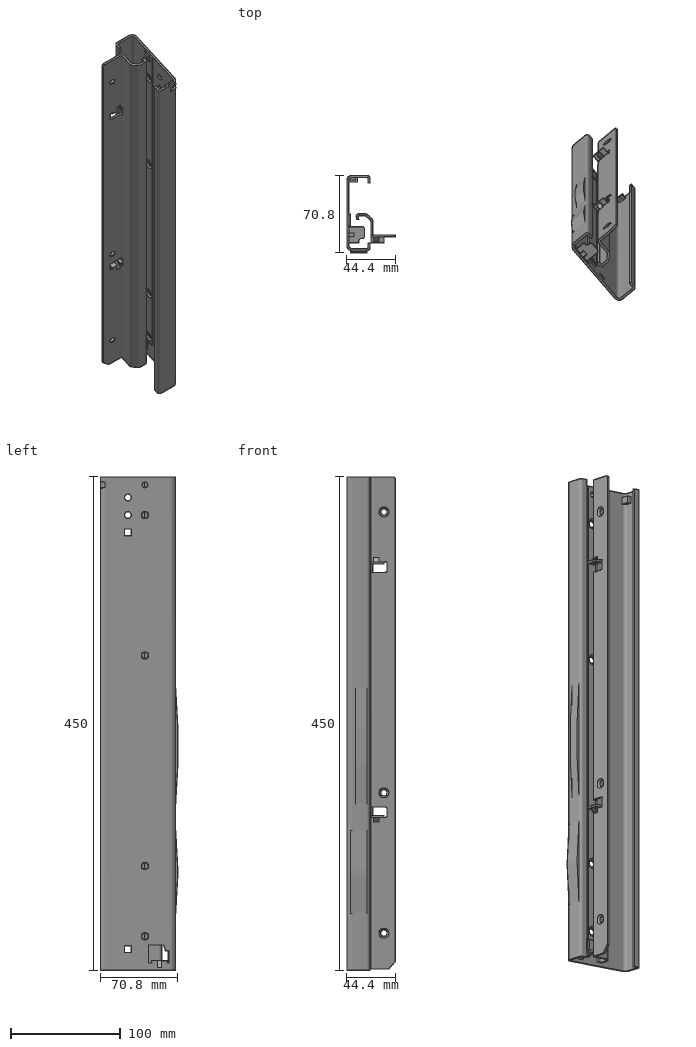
import cadquery as cq
import math


SHEET = 2.0
RAIL_SHEET = SHEET
LENGTH = 450.0
TOTAL_HEIGHT = 70.8
PAD_RISE = 2.0
CHANNEL_HEIGHT = TOTAL_HEIGHT - PAD_RISE
CHANNEL_DEPTH = 21.2
LIP_LENGTH = 7.0
WEB_BEND = 5.0
LIP_BEND = 2.9

SCREW_LINE_Y = 28.1
SCREW_DIAMETER = 6.0
SCREW_SINK_DIAMETER = 9.8
SCREW_HEIGHTS = (31.2, 95.2, 287.2, 415.2)
PILOT_DIAMETER = 5.2
PILOT_Z = 442.7
FIXING_LINE_Y = SCREW_LINE_Y + 15.5
FIXING_SIZE = 5.9
ROUND_FIXING_HEIGHTS = (415.2, 431.2)
SQUARE_FIXING_HEIGHTS = (19.4, 399.4)

WINDOW_BOTTOM = 7.0
WINDOW_TOP = 23.2
WINDOW_STEP_Z = 17.8
WINDOW_Y = (6.0, 24.8)
STEP_Y = 11.0
TAB_Y = (7.2, 22.1)
TAB_REACH = 16.2
TAB_STEP_REACH = 11.0
TAB_CORNER = 1.5

GUSSET_WIDTH = 5.0
DENT_WIDTH = 3.6
GUSSET_LEG = 4.0
DENT_LEG = 6.4

DIMPLE_Z = (439.6, 445.8)
DIMPLE_DEPTH = 4.2
DIMPLE_REACH = 9.8
DIMPLE_WALL = 0.6

PAD_END_X = CHANNEL_DEPTH - LIP_BEND
PADS = (
    (8.2, (152.0, 187.0, 222.0, 257.0)),
    (3.5, (52.0, 87.5, 92.0, 127.5)),
)

STRIP_WIDTH = 10.8
STRIP_THICKNESS = 1.5
STRIP_FACE_X = SHEET + STRIP_THICKNESS
STRIP_BOTTOM = WINDOW_TOP

RAIL_END_X = 44.4
RAIL_BOTTOM = 1.2
RAIL_WEB_X = 21.9
RAIL_FLANGE_Y = 12.6
RAIL_TOP_Y = 33.9
RAIL_SLOPE_X = 18.0
RAIL_SLOPE_Y = 28.4
HOOK_X = 8.0
HOOK_TIP_Y = 28.4
HOOK_TIP_X = 9.0
HOOK_BEND = 2.8
SLOPE_BEND = 4.0
FLANGE_BEND = 2.7
RAIL_CORNER_CUT = (6.3, 7.0)
RAIL_TOP_CUT = 1.5
RAIL_HOLE_X = 33.9
RAIL_HOLE_HEIGHTS = (34.0, 162.0, 418.0)
RAIL_HOLE_DIAMETER = 5.6
RAIL_SINK_DIAMETER = 9.0

SLOT_MIRROR_Z = 256.0
SLOT_OUTER = 116.5
SLOT_INNER = 107.0
SLOT_END_X = 36.6
SLOT_TOP_Y = 16.4
SLOT_CORNER = 1.5
RAIL_TAB_END_X = 34.0
RAIL_GUSSET_X = 27.0
RAIL_TAB_TIP_Y = 7.2


def box(x_range, y_range, z_range):
    size = [b - a for a, b in (x_range, y_range, z_range)]
    corner = (x_range[0], y_range[0], z_range[0])
    return cq.Workplane("XY").box(*size, centered=False).translate(corner)


def bent_sheet(path, thickness, bottom, top):
    """Sheet whose left face follows `path`; its body lies to the right of the path."""
    steps = list(zip(path, path[1:]))
    normals = []
    for (x0, y0), (x1, y1) in steps:
        run = math.hypot(x1 - x0, y1 - y0)
        normals.append(((y1 - y0) / run, (x0 - x1) / run))
    before = [normals[0]] + normals
    after = normals + [normals[-1]]
    inner = []
    for (x, y), a, b in zip(path, before, after):
        stretch = thickness / (1 + a[0] * b[0] + a[1] * b[1])
        inner.append((x + stretch * (a[0] + b[0]), y + stretch * (a[1] + b[1])))
    sheet = cq.Workplane("XY").workplane(offset=bottom).polyline(path + inner[::-1]).close()
    return sheet.extrude(top - bottom), inner


def round_edge(body, point, radius):
    """Rounds the Z edge that passes through the XY `point`."""
    reach = 0.05
    x, y = point
    selector = cq.selectors.BoxSelector(
        (x - reach, y - reach, -LENGTH), (x + reach, y + reach, 2 * LENGTH)
    )
    return body.edges("|Z").edges(selector).fillet(radius)


def web_holes(diameter, y, heights):
    points = [(y, z) for z in heights]
    return cq.Workplane("YZ").pushPoints(points).circle(diameter / 2).extrude(STRIP_FACE_X)


def screw_line_cutter():
    """Countersunk screw holes and the pilot hole, through both the web and the strip."""
    holes = web_holes(SCREW_DIAMETER, SCREW_LINE_Y, SCREW_HEIGHTS)
    pilot = web_holes(PILOT_DIAMETER, SCREW_LINE_Y, (PILOT_Z,))
    points = [(SCREW_LINE_Y, z) for z in SCREW_HEIGHTS]
    face = cq.Workplane("YZ", origin=(STRIP_FACE_X, 0, 0)).pushPoints(points)
    depth = (SCREW_SINK_DIAMETER - SCREW_DIAMETER) / 2
    sinks = face.circle(SCREW_SINK_DIAMETER / 2).extrude(-depth, taper=45)
    return holes.union(sinks).union(pilot)


def make_channel():
    path = [
        (CHANNEL_DEPTH, LIP_LENGTH),
        (CHANNEL_DEPTH, 0),
        (0, 0),
        (0, CHANNEL_HEIGHT),
        (CHANNEL_DEPTH, CHANNEL_HEIGHT),
        (CHANNEL_DEPTH, CHANNEL_HEIGHT - LIP_LENGTH),
    ]
    channel, inner = bent_sheet(path, SHEET, 0, LENGTH)
    for bend, radius in zip(range(1, 5), (LIP_BEND, WEB_BEND, WEB_BEND, LIP_BEND)):
        channel = round_edge(channel, path[bend], radius)
        channel = round_edge(channel, inner[bend], radius - SHEET)
    for pad_start, heights in PADS:
        channel = channel.union(make_pad(pad_start, heights))
    channel = channel.cut(screw_line_cutter())
    channel = channel.cut(web_holes(FIXING_SIZE, FIXING_LINE_Y, ROUND_FIXING_HEIGHTS))
    squares = [(FIXING_LINE_Y, z) for z in SQUARE_FIXING_HEIGHTS]
    channel = channel.cut(
        cq.Workplane("YZ").pushPoints(squares).rect(FIXING_SIZE, FIXING_SIZE).extrude(SHEET)
    )
    return add_dimple(add_stop_tab(channel))


def make_pad(start_x, heights):
    """Pad with a ramp at each end, rising from the -Y flange."""
    low, flat_low, flat_high, high = heights
    profile = [(0, low), (-PAD_RISE, flat_low), (-PAD_RISE, flat_high), (0, high)]
    profile += [(SHEET / 2, high), (SHEET / 2, low)]
    pad = cq.Workplane("YZ").workplane(offset=start_x).polyline(profile).close()
    return pad.extrude(PAD_END_X - start_x)


def add_stop_tab(channel):
    """Window with a stepped outline, and the matching tab bent to +X at its lower edge."""
    y_low, y_high = WINDOW_Y
    window = [
        (y_high, WINDOW_BOTTOM),
        (y_high, WINDOW_TOP),
        (STEP_Y, WINDOW_TOP),
        (STEP_Y - TAB_CORNER, WINDOW_STEP_Z),
        (y_low, WINDOW_STEP_Z),
        (y_low, WINDOW_BOTTOM),
    ]
    channel = channel.cut(cq.Workplane("YZ").polyline(window).close().extrude(SHEET))
    tab_low, tab_high = TAB_Y
    tab = [
        (0, tab_low),
        (TAB_STEP_REACH, tab_low),
        (TAB_STEP_REACH, STEP_Y - TAB_CORNER),
        (TAB_STEP_REACH + TAB_CORNER, STEP_Y),
        (TAB_REACH - TAB_CORNER, STEP_Y),
        (TAB_REACH, STEP_Y + TAB_CORNER),
        (TAB_REACH, tab_high - TAB_CORNER),
        (TAB_REACH - TAB_CORNER, tab_high),
        (0, tab_high),
    ]
    tab_plane = cq.Workplane("XY").workplane(offset=WINDOW_BOTTOM)
    channel = channel.union(tab_plane.polyline(tab).close().extrude(SHEET))
    middle = (tab_low + tab_high) / 2
    frame = cq.Plane(origin=(SHEET, middle, WINDOW_BOTTOM), xDir=(1, 0, 0), normal=(0, 1, 0))
    return add_gusset(channel, frame, SHEET)


def add_gusset(body, frame, thickness):
    """Rib in the inner corner of a bend, with the dent behind it.

    The origin of `frame` lies on the inner corner; its x runs along the tab, its y along
    the parent sheet and its normal along the bend line. Both sheets have `thickness`.
    """
    rib = cq.Workplane(frame).polyline([(0, 0), (GUSSET_LEG, 0), (0, GUSSET_LEG)]).close()
    corner = -thickness
    dent = cq.Workplane(frame).polyline(
        [(corner, corner), (corner + DENT_LEG, corner), (corner, corner + DENT_LEG)]
    ).close()
    return body.union(rib.extrude(GUSSET_WIDTH / 2, both=True)).cut(dent.extrude(DENT_WIDTH / 2, both=True))


def add_dimple(channel):
    """Corner of the sheet pressed inwards as a stop."""
    z_low, z_high = DIMPLE_Z
    floor = CHANNEL_HEIGHT - DIMPLE_DEPTH
    bump = box((SHEET / 2, DIMPLE_REACH), (floor - SHEET, CHANNEL_HEIGHT - SHEET / 2), DIMPLE_Z)
    recess = box(
        (0, DIMPLE_REACH - SHEET),
        (floor, CHANNEL_HEIGHT),
        (z_low + DIMPLE_WALL, z_high - DIMPLE_WALL),
    )
    return channel.union(bump).cut(recess)


def make_strip():
    """Flat strip along the screw line of the web, drilled in line with it."""
    strip = box(
        (SHEET, STRIP_FACE_X),
        (SCREW_LINE_Y - STRIP_WIDTH / 2, SCREW_LINE_Y + STRIP_WIDTH / 2),
        (STRIP_BOTTOM, LENGTH),
    )
    return strip.cut(screw_line_cutter())


def make_rail():
    outer_x = RAIL_WEB_X + RAIL_SHEET
    outer_y = RAIL_FLANGE_Y + RAIL_SHEET
    path = [
        (HOOK_TIP_X, HOOK_TIP_Y),
        (HOOK_X, RAIL_TOP_Y),
        (RAIL_SLOPE_X, RAIL_TOP_Y),
        (outer_x, RAIL_SLOPE_Y),
        (outer_x, outer_y),
        (RAIL_END_X, outer_y),
    ]
    rail, inner = bent_sheet(path, RAIL_SHEET, RAIL_BOTTOM, LENGTH)
    for bend, radius in zip((1, 2, 3), (HOOK_BEND, SLOPE_BEND, SLOPE_BEND)):
        rail = round_edge(rail, path[bend], radius)
        rail = round_edge(rail, inner[bend], radius - RAIL_SHEET)
    rail = round_edge(rail, inner[4], FLANGE_BEND)
    rail = round_edge(rail, path[4], FLANGE_BEND - RAIL_SHEET)
    cut_x, cut_z = RAIL_CORNER_CUT
    profile = [
        (0, RAIL_BOTTOM),
        (RAIL_END_X - cut_x, RAIL_BOTTOM),
        (RAIL_END_X, RAIL_BOTTOM + cut_z),
        (RAIL_END_X, LENGTH - RAIL_TOP_CUT),
        (RAIL_END_X - RAIL_TOP_CUT, LENGTH),
        (0, LENGTH),
    ]
    rail = rail.intersect(
        cq.Workplane("XZ").polyline(profile).close().extrude(-CHANNEL_HEIGHT)
    )
    for side in (-1, 1):
        rail = add_slot(rail, side)
    holes = [(RAIL_HOLE_X, z) for z in RAIL_HOLE_HEIGHTS]
    face = cq.Workplane("XZ", origin=(0, RAIL_FLANGE_Y, 0)).pushPoints(holes)
    bore = face.circle(RAIL_HOLE_DIAMETER / 2).extrude(-RAIL_SHEET)
    sink = face.circle(RAIL_SINK_DIAMETER / 2).extrude(
        -(RAIL_SINK_DIAMETER - RAIL_HOLE_DIAMETER) / 2, taper=45
    )
    return rail.cut(bore).cut(sink)


def add_slot(rail, side):
    """Slot through the flange and the foot of the web, with a tab bent to -Y on its outer end."""
    edge = SLOT_MIRROR_Z + side * SLOT_OUTER
    inner_edge = SLOT_MIRROR_Z + side * SLOT_INNER
    slot = box((RAIL_WEB_X, SLOT_END_X), (RAIL_FLANGE_Y, SLOT_TOP_Y), sorted((edge, inner_edge)))
    tab = box(
        (RAIL_WEB_X, RAIL_TAB_END_X),
        (RAIL_TAB_TIP_Y, RAIL_FLANGE_Y + RAIL_SHEET),
        sorted((edge, edge - side * RAIL_SHEET)),
    )
    slot = slot.edges("|Y and >X").fillet(SLOT_CORNER)
    rail = rail.cut(slot).union(tab)
    frame = cq.Plane(origin=(RAIL_GUSSET_X, RAIL_FLANGE_Y, edge), xDir=(0, -1, 0), normal=(-side, 0, 0))
    return add_gusset(rail, frame, RAIL_SHEET)


channel = make_channel()
strip = make_strip()
rail = make_rail()

result = cq.Compound.makeCompound([channel.val(), strip.val(), rail.val()])